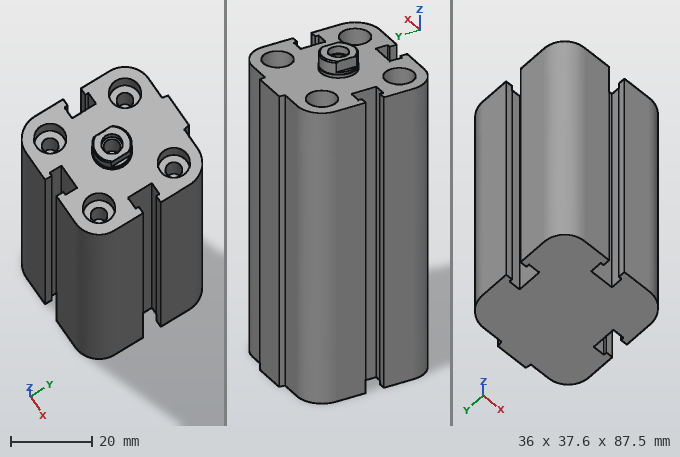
import cadquery as cq

TOTAL_HEIGHT = 87.5
HOUSING_WIDTH = 36.0
HOUSING_HEIGHT = 82.95
CAP_HEIGHT = 12.5
HALF_WIDTH = HOUSING_WIDTH / 2

CORNER_RADIUS = 7.0
HOLE_SPACING = HOUSING_WIDTH - 2 * CORNER_RADIUS
HOLE_DIAMETER = 4.1
COUNTERBORE_DIAMETER = 8.0
COUNTERBORE_DEPTH = 4.8

SLOT_MOUTH_WIDTH = 5.2
SLOT_INNER_WIDTH = 7.0
SLOT_LIP = 2.0
SLOT_DEPTH = 5.4
SLOT_ANGLES = (-90, 0, 90)

RAIL_HEIGHT = 1.6
RAIL_BASE_WIDTH = 10.0
RAIL_TOP_WIDTH = 9.45

ROD_DIAMETER = 10.0
ROD_HEAD_DIAMETER = 9.8
ROD_COLLAR_HEIGHT = 1.0
COLLAR_CHAMFER = (ROD_DIAMETER - ROD_HEAD_DIAMETER) / 2
ROD_CHAMFER = 0.35
FLAT_SPACING = 8.0
FLAT_HEIGHT = 3.0
THREAD_DIAMETER = 4.1
THREAD_DEPTH = 10.0
THREAD_MOUTH_DIAMETER = 5.25
THREAD_MOUTH_DEPTH = 2.0

ROD_BOTTOM = HOUSING_HEIGHT - CAP_HEIGHT
COLLAR_TOP = HOUSING_HEIGHT + ROD_COLLAR_HEIGHT


def square_section(height):
    """Rounded square bar standing on the XY plane."""
    bar = cq.Workplane("XY").rect(HOUSING_WIDTH, HOUSING_WIDTH).extrude(height)
    return bar.edges("|Z").fillet(CORNER_RADIUS)


def rail(height):
    """Tapered rail on the +Y side."""
    outline = [
        (-RAIL_BASE_WIDTH / 2, HALF_WIDTH),
        (RAIL_BASE_WIDTH / 2, HALF_WIDTH),
        (RAIL_TOP_WIDTH / 2, HALF_WIDTH + RAIL_HEIGHT),
        (-RAIL_TOP_WIDTH / 2, HALF_WIDTH + RAIL_HEIGHT),
    ]
    return cq.Workplane("XY").polyline(outline).close().extrude(height)


def t_slot(height, angle):
    """Cutter for one T-slot, turned about Z from the -Y side."""
    lip_y = -HALF_WIDTH + SLOT_LIP
    floor_y = -HALF_WIDTH + SLOT_DEPTH
    outline = [
        (-SLOT_MOUTH_WIDTH / 2, -HALF_WIDTH),
        (-SLOT_MOUTH_WIDTH / 2, lip_y),
        (-SLOT_INNER_WIDTH / 2, lip_y),
        (-SLOT_INNER_WIDTH / 2, floor_y),
        (SLOT_INNER_WIDTH / 2, floor_y),
        (SLOT_INNER_WIDTH / 2, lip_y),
        (SLOT_MOUTH_WIDTH / 2, lip_y),
        (SLOT_MOUTH_WIDTH / 2, -HALF_WIDTH),
    ]
    cutter = cq.Workplane("XY").polyline(outline).close().extrude(height)
    return cutter.rotate((0, 0, 0), (0, 0, 1), angle)


def profile_section(bottom, height):
    """Length of the slotted housing profile starting at the given height."""
    section = square_section(height).union(rail(height))
    for angle in SLOT_ANGLES:
        section = section.cut(t_slot(height, angle))
    return section.translate((0, 0, bottom))


def make_housing():
    """Slotted housing with counterbored mounting holes and a bore for the rod."""
    barrel_height = HOUSING_HEIGHT - 2 * CAP_HEIGHT
    housing = (
        profile_section(0, CAP_HEIGHT)
        .union(profile_section(CAP_HEIGHT, barrel_height), clean=False)
        .union(profile_section(CAP_HEIGHT + barrel_height, CAP_HEIGHT), clean=False)
    )
    top = cq.Workplane("XY").workplane(offset=HOUSING_HEIGHT)
    corners = top.rect(HOLE_SPACING, HOLE_SPACING, forConstruction=True).vertices()
    holes = corners.circle(HOLE_DIAMETER / 2).extrude(-CAP_HEIGHT)
    counterbores = corners.circle(COUNTERBORE_DIAMETER / 2).extrude(-COUNTERBORE_DEPTH)
    rod_bore = top.circle(ROD_DIAMETER / 2).extrude(-CAP_HEIGHT)
    for cutter in (holes, counterbores, rod_bore):
        housing = housing.cut(cutter, clean=False)
    return housing


def make_rod():
    """Piston rod with a stepped head, two wrench flats and a counterbored thread hole."""
    shank = (
        cq.Workplane("XY").workplane(offset=ROD_BOTTOM)
        .circle(ROD_DIAMETER / 2).extrude(COLLAR_TOP - ROD_BOTTOM)
        .faces(">Z").chamfer(COLLAR_CHAMFER)
    )
    head = (
        cq.Workplane("XY").workplane(offset=COLLAR_TOP)
        .circle(ROD_HEAD_DIAMETER / 2).extrude(TOTAL_HEIGHT - COLLAR_TOP)
        .faces(">Z").chamfer(ROD_CHAMFER)
    )
    top = cq.Workplane("XY").workplane(offset=TOTAL_HEIGHT)
    flats = (
        top.rect(2 * ROD_DIAMETER, 2 * ROD_DIAMETER)
        .rect(FLAT_SPACING, 2 * ROD_DIAMETER).extrude(-FLAT_HEIGHT)
    )
    thread = top.circle(THREAD_DIAMETER / 2).extrude(-THREAD_DEPTH)
    mouth = top.circle(THREAD_MOUTH_DIAMETER / 2).extrude(-THREAD_MOUTH_DEPTH)
    return shank.union(head).cut(flats).cut(thread).cut(mouth)


housing = make_housing()
rod = make_rod()
result = cq.Compound.makeCompound([housing.solids().val(), rod.solids().val()])